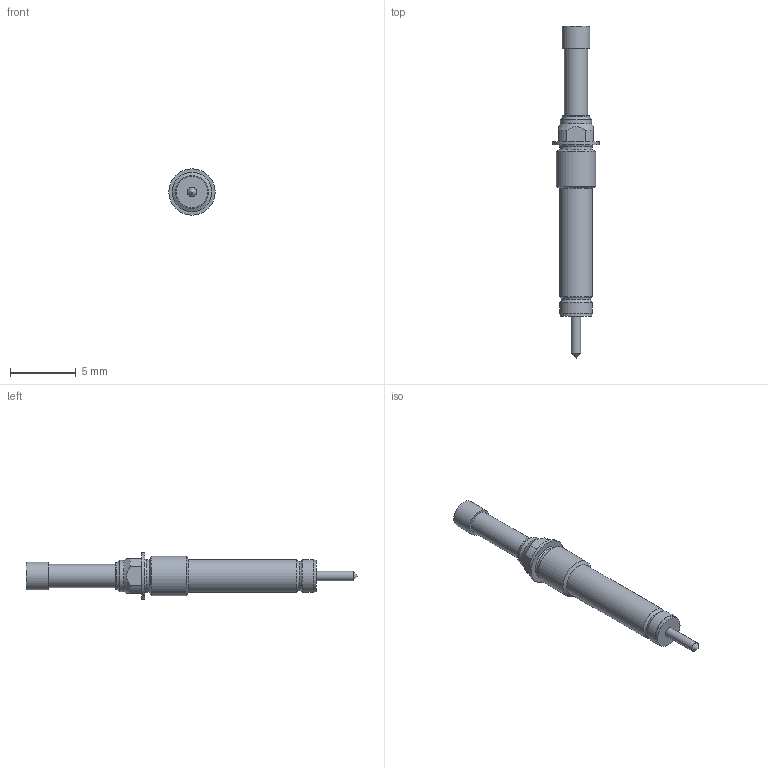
import math

import cadquery as cq


flange_radius = 1.75
flange_thickness = 0.25

rear_end = 9.0
head_radius = 1.05
head_length = 1.7
stem_radius = 0.875
collar_radius = 1.03
collar_rear = 2.2
collar_length = 0.07
flare_length = 0.22
flare_rise = 0.08
shoulder_radius = 1.18
shoulder_front = 1.6

wrench_radius = 1.5
wrench_across_flats = 2.64
wrench_cone_angle = 32.0

barrel_radius = 1.25
barrel_end = -13.0
neck_taper_length = 0.13
neck_taper_rise = 0.06
sleeve_radius = 1.5
sleeve_rear = -0.35
sleeve_front = -3.3
sleeve_chamfer_angle = 30.0
end_step_radius = 1.2
end_step_length = 0.23

groove_floor_y = -11.71
groove_floor_radius = 1.1
groove_rear_run = 0.21
groove_front_run = 0.23

plunger_radius = 0.35
plunger_tip = -16.15
plunger_cone_length = 0.35


def revolve_about_y(profile):
    """Close a half profile drawn with X as radius and turn it about the Y axis."""
    return profile.close().revolve(360, (0, 0, 0), (0, 1, 0))


def cylinder(radius, y_rear, y_front):
    """Round section between two stations along Y."""
    return cq.Workplane("XZ", origin=(0, y_rear, 0)).circle(radius).extrude(y_rear - y_front)


def tangent_arc_radius(run, rise):
    """Radius of an arc that is parallel to the axis at one end and climbs `rise` over `run`."""
    return (run**2 + rise**2) / (2 * rise)


def make_rear():
    """Head, stem, flared collar and shoulder."""
    flare_rear = collar_rear - collar_length
    flare_arc_radius = tangent_arc_radius(flare_length, flare_rise)
    shoulder_rear = flare_rear - flare_length

    collar = revolve_about_y(
        cq.Workplane("XY")
        .moveTo(0, collar_rear)
        .lineTo(collar_radius, collar_rear)
        .lineTo(collar_radius, flare_rear)
        .radiusArc((collar_radius + flare_rise, shoulder_rear), -flare_arc_radius)
        .lineTo(shoulder_radius, shoulder_rear)
        .lineTo(shoulder_radius, shoulder_front)
        .lineTo(0, shoulder_front)
    )
    head = cylinder(head_radius, rear_end, rear_end - head_length)
    stem = cylinder(stem_radius, rear_end, collar_rear)
    return head.union(stem).union(collar)


def make_wrench_section():
    """Coned round section trimmed by four flats parallel to X and Z."""
    cone_length = (wrench_radius - shoulder_radius) / math.tan(math.radians(wrench_cone_angle))
    blank = revolve_about_y(
        cq.Workplane("XY")
        .moveTo(0, shoulder_front)
        .lineTo(shoulder_radius, shoulder_front)
        .lineTo(wrench_radius, shoulder_front - cone_length)
        .lineTo(wrench_radius, 0)
        .lineTo(0, 0)
    )
    square = (
        cq.Workplane("XZ", origin=(0, shoulder_front, 0))
        .rect(wrench_across_flats, wrench_across_flats)
        .extrude(shoulder_front)
    )
    return blank.intersect(square)


def make_barrel():
    """Barrel with tapered neck, chamfered sleeve and stepped front end."""
    chamfer_length = (sleeve_radius - barrel_radius) * math.tan(math.radians(sleeve_chamfer_angle))
    return revolve_about_y(
        cq.Workplane("XY")
        .moveTo(0, 0)
        .lineTo(barrel_radius + neck_taper_rise, 0)
        .lineTo(barrel_radius, -neck_taper_length)
        .lineTo(barrel_radius, sleeve_rear)
        .lineTo(sleeve_radius, sleeve_rear - chamfer_length)
        .lineTo(sleeve_radius, sleeve_front + chamfer_length)
        .lineTo(barrel_radius, sleeve_front)
        .lineTo(barrel_radius, barrel_end + end_step_length)
        .lineTo(end_step_radius, barrel_end + end_step_length)
        .lineTo(end_step_radius, barrel_end)
        .lineTo(0, barrel_end)
    )


def make_snap_groove():
    """Ring of material removed by the snap groove; both arcs run along the axis at the floor."""
    depth = barrel_radius - groove_floor_radius
    rear_arc_radius = tangent_arc_radius(groove_rear_run, depth)
    front_arc_radius = tangent_arc_radius(groove_front_run, depth)
    return revolve_about_y(
        cq.Workplane("XY")
        .moveTo(barrel_radius, groove_floor_y + groove_rear_run)
        .radiusArc((groove_floor_radius, groove_floor_y), -rear_arc_radius)
        .radiusArc((barrel_radius, groove_floor_y - groove_front_run), -front_arc_radius)
    )


def make_plunger():
    """Thin front plunger with a conical point."""
    cone_base = plunger_tip + plunger_cone_length
    return revolve_about_y(
        cq.Workplane("XY")
        .moveTo(0, barrel_end)
        .lineTo(plunger_radius, barrel_end)
        .lineTo(plunger_radius, cone_base)
        .lineTo(0, plunger_tip)
    )


flange = cylinder(flange_radius, flange_thickness, 0)
barrel = make_barrel().cut(make_snap_groove())

result = (
    make_rear()
    .union(make_wrench_section())
    .union(flange)
    .union(barrel)
    .union(make_plunger())
)